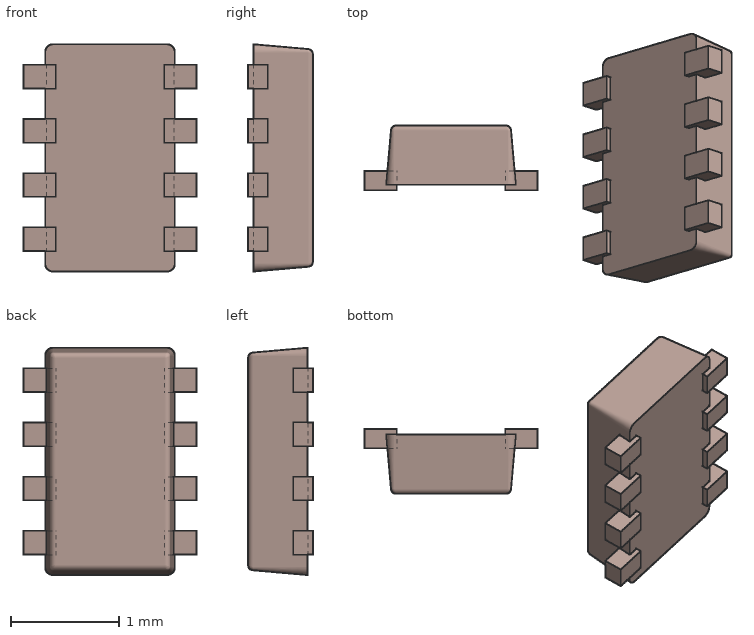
import cadquery as cq

package_span = 1.6
package_depth = 0.6
housing_length = 2.1

housing_width = 1.2
standoff = 0.05
corner_radius = 0.075
draft_angle = 5.0
face_edge_radius = 0.05
housing_depth = package_depth - standoff

lead_length = 0.3
lead_depth = 0.18
lead_height = 0.22
lead_pitch = 0.5
leads_per_side = 4

lead_face_y = -package_depth / 2
seating_face_y = lead_face_y + standoff


def make_lead(side, row):
    """One lead; side is -1 or +1 along X, row counts upward along Z."""
    x = side * (package_span - lead_length) / 2
    y = lead_face_y + lead_depth / 2
    z = (row - (leads_per_side - 1) / 2) * lead_pitch
    return cq.Workplane("XY").box(lead_length, lead_depth, lead_height).translate((x, y, z))


def make_housing(leads):
    """Drafted block with rounded corners and a rounded rim on the +Y face, notched for the leads."""
    outline = (
        cq.Sketch()
        .rect(housing_width, housing_length)
        .vertices()
        .fillet(corner_radius)
    )
    body = (
        cq.Workplane("XZ", origin=(0, seating_face_y, 0))
        .placeSketch(outline)
        .extrude(-housing_depth, taper=draft_angle)
    )
    body = body.faces(">Y").edges().fillet(face_edge_radius)
    for lead in leads:
        body = body.cut(lead)
    return body


leads = [make_lead(side, row) for side in (-1, 1) for row in range(leads_per_side)]
housing = make_housing(leads)

result = cq.Compound.makeCompound([housing.val(), *[lead.val() for lead in leads]])